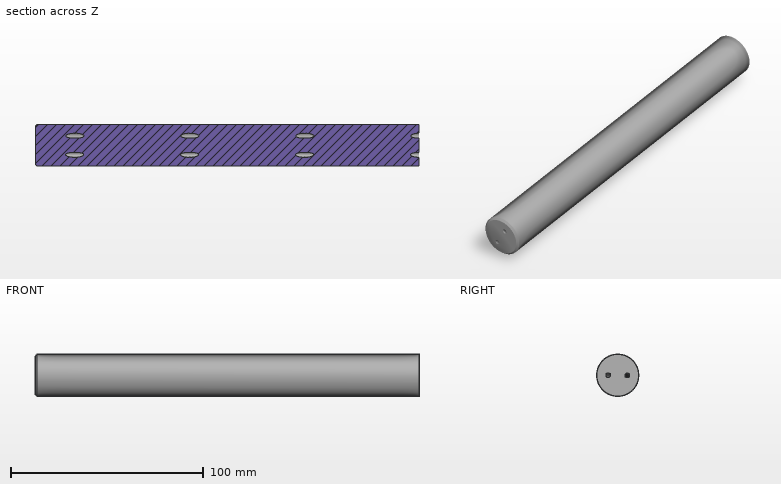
import cadquery as cq
import math

rod_length = 200.0
rod_diameter = 22.0
chamfer_size = 0.05 * rod_diameter

channel_count = 2
channel_diameter = 2.4
channel_circle_radius = 5.0
channel_start_angle = 118.0
helix_angle = 30.0
helix_pitch = math.pi * rod_diameter / math.tan(math.radians(helix_angle))
channel_twist = 360.0 * rod_length / helix_pitch


def make_rod():
    """Solid rod with one chamfered end."""
    rod = cq.Workplane("YZ").circle(rod_diameter / 2).extrude(rod_length)
    return rod.faces("<X").chamfer(chamfer_size)


def make_channels():
    """Cutters for the helical channels, evenly spaced around the rod axis."""
    return (
        cq.Workplane("YZ")
        .polarArray(channel_circle_radius, channel_start_angle, 360.0, channel_count)
        .circle(channel_diameter / 2)
        .twistExtrude(rod_length, channel_twist)
    )


result = make_rod().cut(make_channels())